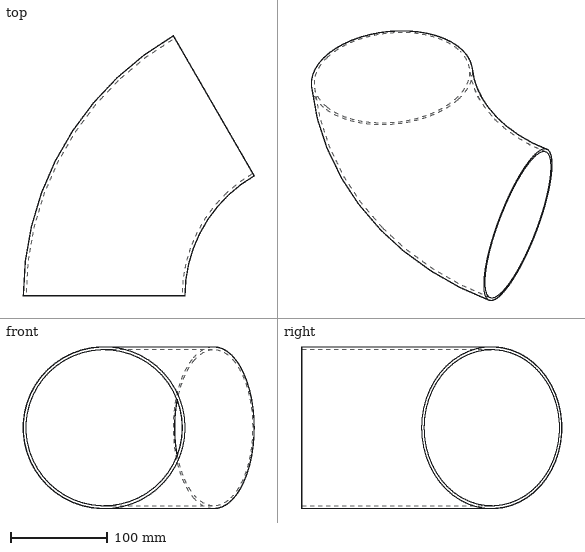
import cadquery as cq

outer_diameter = 168.3
wall_thickness = 3.0
bend_radius = 228.0
bend_angle = 60.0

outer_radius = outer_diameter / 2
inner_radius = outer_radius - wall_thickness


def make_elbow():
    """Revolve the pipe's ring section about a Z-parallel axis on its +X side.

    The first end face lies in the XZ plane, centred on the origin, and the
    pipe leaves it along +Y before bending towards +X.
    """
    ring = cq.Workplane("XZ").circle(outer_radius).circle(inner_radius)
    axis_start = (bend_radius, 0)
    axis_end = (bend_radius, -1)
    return ring.revolve(bend_angle, axis_start, axis_end)


result = make_elbow()